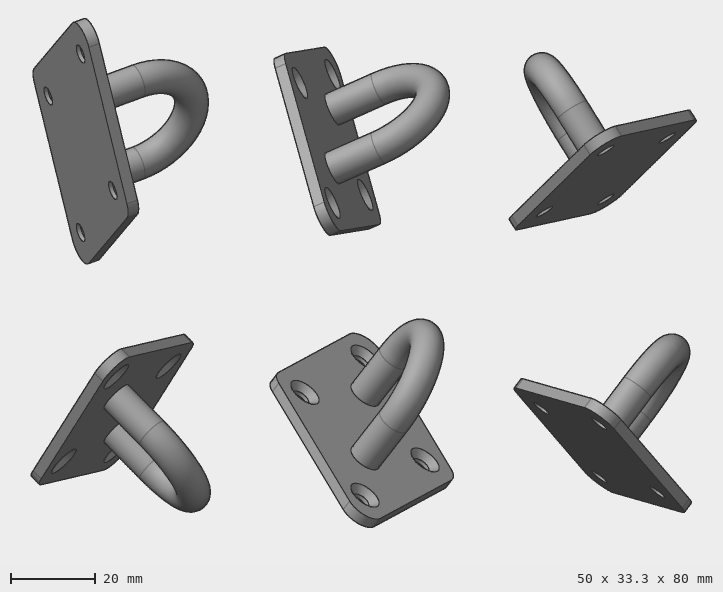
import cadquery as cq
import math

plate_width = 50.0
plate_height = 80.0
plate_thickness = 2.8
corner_diameter = 10.0
corner_radius = corner_diameter / 2
corner_x = plate_width / 2 - corner_radius
corner_z = plate_height / 2 - corner_radius

hole_diameter = 4.5
hole_x = 16.95
hole_z = 30.95

countersink_diameter = 8.0
countersink_angle = 90.0

bar_diameter = 8.0
bend_radius = 14.2
total_depth = 33.3
bend_start_y = total_depth - bend_radius - bar_diameter / 2


def make_plate():
    edge_length = math.hypot(corner_x, corner_z)
    tangent_x = corner_radius * corner_z / edge_length
    tangent_z = corner_radius * corner_x / edge_length
    side_x = corner_x + tangent_x
    end_z = corner_z + tangent_z
    return (
        cq.Workplane("XZ")
        .moveTo(tangent_x, end_z)
        .lineTo(side_x, tangent_z)
        .threePointArc((plate_width / 2, 0), (side_x, -tangent_z))
        .lineTo(tangent_x, -end_z)
        .threePointArc((0, -plate_height / 2), (-tangent_x, -end_z))
        .lineTo(-side_x, -tangent_z)
        .threePointArc((-plate_width / 2, 0), (-side_x, tangent_z))
        .lineTo(-tangent_x, end_z)
        .threePointArc((0, plate_height / 2), (tangent_x, end_z))
        .close()
        .extrude(-plate_thickness)
    )


def drill_holes(plate):
    hole_centres = [(hole_x, 0), (-hole_x, 0), (0, hole_z), (0, -hole_z)]
    return (
        plate.faces(">Y")
        .workplane(origin=(0, plate_thickness, 0))
        .pushPoints(hole_centres)
        .cskHole(hole_diameter, countersink_diameter, countersink_angle)
    )


def make_staple():
    leg_start_y = plate_thickness / 2
    path = (
        cq.Workplane("YZ")
        .moveTo(leg_start_y, -bend_radius)
        .lineTo(bend_start_y, -bend_radius)
        .threePointArc((bend_start_y + bend_radius, 0), (bend_start_y, bend_radius))
        .lineTo(leg_start_y, bend_radius)
    )
    return (
        cq.Workplane("XZ", origin=(0, leg_start_y, -bend_radius))
        .circle(bar_diameter / 2)
        .sweep(path)
    )


result = drill_holes(make_plate()).union(make_staple())